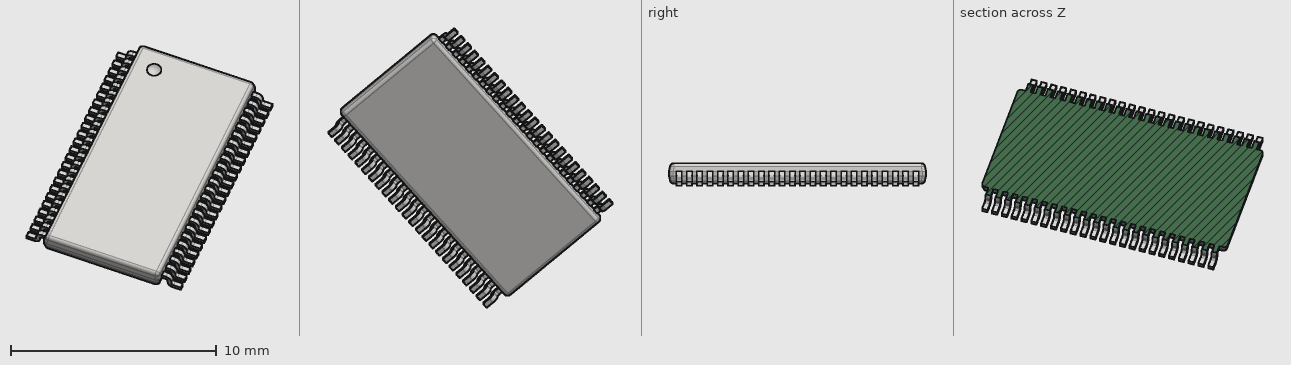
import cadquery as cq

BODY_X = 6.1
BODY_Y = 12.5
BODY_HEIGHT = 1.0
STANDOFF = 0.1
BODY_DRAFT = 12.0
BODY_FILLET = 0.2

LEAD_THICKNESS = 0.2
LEAD_WIDTH = 0.27
LEAD_PITCH = 0.5
LEADS_PER_SIDE = 24
LEAD_SPAN = 8.1
FOOT_FLAT = 0.4
BEND_INNER_RADIUS = 0.1
LEAD_EMBED = 0.3

DIMPLE_RADIUS = 0.35
DIMPLE_DEPTH = 0.15
DIMPLE_EDGE_OFFSET = 1.25

BODY_MID_Z = STANDOFF + BODY_HEIGHT / 2
BODY_TOP_Z = STANDOFF + BODY_HEIGHT
BAND_HEIGHT = LEAD_THICKNESS
BAND_BOTTOM_Z = BODY_MID_Z - BAND_HEIGHT / 2
BAND_TOP_Z = BODY_MID_Z + BAND_HEIGHT / 2
DRAFTED_HEIGHT = (BODY_HEIGHT - BAND_HEIGHT) / 2
BEND_OUTER_RADIUS = BEND_INNER_RADIUS + LEAD_THICKNESS


def make_body():
    """Band plus two drafted halves, with every outer edge rounded."""
    band = (
        cq.Workplane("XY")
        .workplane(offset=BAND_BOTTOM_Z)
        .rect(BODY_X, BODY_Y)
        .extrude(BAND_HEIGHT)
    )
    upper = (
        cq.Workplane("XY")
        .workplane(offset=BAND_TOP_Z)
        .rect(BODY_X, BODY_Y)
        .extrude(DRAFTED_HEIGHT, taper=BODY_DRAFT)
    )
    lower = upper.mirror("XY", (0, 0, BODY_MID_Z))
    block = band.union(upper).union(lower)
    corners = block.edges("not #Z")
    return corners.add(block.edges("<Z or >Z")).fillet(BODY_FILLET)


def make_left_lead():
    """One lead on the -X side, centred on Y = 0, with its foot on Z = 0."""
    tip_x = -LEAD_SPAN / 2
    lower_bend_x = tip_x + FOOT_FLAT
    riser_outer_x = lower_bend_x + BEND_INNER_RADIUS
    riser_inner_x = lower_bend_x + BEND_OUTER_RADIUS
    upper_bend_x = riser_inner_x + BEND_INNER_RADIUS
    root_x = -BODY_X / 2 + LEAD_EMBED
    lower_bend_z = BEND_OUTER_RADIUS
    upper_bend_z = BAND_TOP_Z - BEND_OUTER_RADIUS

    profile = (
        cq.Workplane("XZ")
        .moveTo(tip_x, 0)
        .lineTo(lower_bend_x, 0)
        .radiusArc((riser_inner_x, lower_bend_z), -BEND_OUTER_RADIUS)
        .lineTo(riser_inner_x, upper_bend_z)
        .radiusArc((upper_bend_x, BAND_BOTTOM_Z), BEND_INNER_RADIUS)
        .lineTo(root_x, BAND_BOTTOM_Z)
        .lineTo(root_x, BAND_TOP_Z)
        .lineTo(upper_bend_x, BAND_TOP_Z)
        .radiusArc((riser_outer_x, upper_bend_z), -BEND_OUTER_RADIUS)
        .lineTo(riser_outer_x, lower_bend_z)
        .radiusArc((lower_bend_x, LEAD_THICKNESS), BEND_INNER_RADIUS)
        .lineTo(tip_x, LEAD_THICKNESS)
        .close()
    )
    return profile.extrude(LEAD_WIDTH / 2, both=True)


def make_leads():
    """Both rows of leads, evenly pitched along Y, as one list of solids."""
    left = make_left_lead()
    right = left.mirror("YZ")
    first_y = -LEAD_PITCH * (LEADS_PER_SIDE - 1) / 2
    leads = []
    for index in range(LEADS_PER_SIDE):
        shift = (0, first_y + index * LEAD_PITCH, 0)
        leads.append(left.translate(shift).val())
        leads.append(right.translate(shift).val())
    return leads


def make_dimple_cutter():
    """Ball whose lowest cap sinks into the top face at the pin-1 corner."""
    ball_radius = (DIMPLE_RADIUS**2 + DIMPLE_DEPTH**2) / (2 * DIMPLE_DEPTH)
    center = (
        -BODY_X / 2 + DIMPLE_EDGE_OFFSET,
        BODY_Y / 2 - DIMPLE_EDGE_OFFSET,
        BODY_TOP_Z - DIMPLE_DEPTH + ball_radius,
    )
    return cq.Workplane("XZ").sphere(ball_radius).translate(center)


body = make_body().cut(make_dimple_cutter())
result = cq.Workplane("XY").newObject([body.val().fuse(*make_leads())])